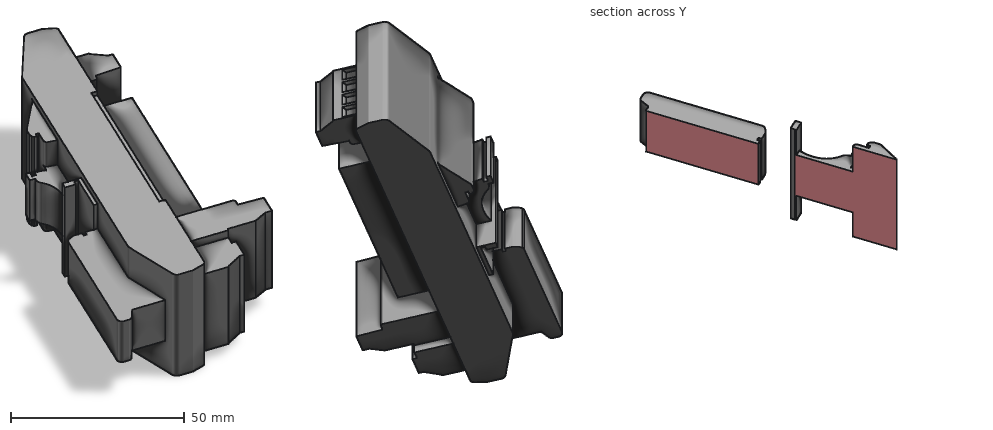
import cadquery as cq


BODY_LENGTH = 111.0
BODY_DEPTH = 17.7
BODY_WIDTH = 40.05
BODY_FLAT_MARGIN = 16.5
BODY_BEVEL_HEIGHT = 7.75
BODY_SHOULDER_HEIGHT = 13.3
BODY_SHOULDER_INSET = 1.35
BODY_EDGE_RADIUS = 2.0
BODY_SHOULDER_RADIUS = 1.2

BLOCK_X_MIN = 25.8
BLOCK_X_MAX = 81.0
BLOCK_TOP_Y = 30.6
BLOCK_HALF_WIDTH = 8.7
NOTCH_X_MIN = 30.5
NOTCH_X_MAX = 80.4
NOTCH_DEPTH_Y = 1.9
NOTCH_DEPTH_Z = 1.6

POLE_PITCH = 5.08
CONNECTOR_TOP_Y = 32.0
TALL_TOP_Y = 45.45
SHOULDER_Y = 30.6
CONNECTOR_EDGE_RADIUS = 0.9
LEFT_POLES = 4
TALL_POLES = 6
RIGHT_POLES = 6
LEFT_Z_MIN = -9.9
TALL_Z_MIN = -13.45
RIGHT_Z_MIN = -16.35
LEFT_FACE_X = 5.4
LEFT_INNER_X = 16.8
CABLE_SLOPE = [(5.75, 26.05), (8.4, 30.6)]
CAP_X = (8.4, 14.4)
LATCH_X = 16.4
LATCH_Y = 23.9
FACE_TOP_Y = 25.75
TALL_FACE_X = 85.4
TALL_LATCH_Y = 37.4
MIRROR_X_SUM = 113.3

RIGHT_INNER_X = MIRROR_X_SUM - LEFT_INNER_X

FUNNEL_TOP_Y = 23.0
FUNNEL_WIDTH = 4.1
FUNNEL_TAPER = 0.75
FUNNEL_TOP_TAPER = 1.0
FUNNEL_DEPTH = 0.8

RAIL_BOTTOM_Y = -10.0
HOOK_SHELF_Y = -3.85
CLAMP_WIDTH = 35.25
MIDDLE_WIDTH = 16.1
MIDDLE_CENTRE_Z = -0.15
FOOT_EDGE_RADIUS = 2.0
FOOT_EAR_RADIUS = 1.0
FIN_X = 60.0
WEDGE_START_X = 24.25
WEDGE_END_X = 35.3
WEDGE_BOTTOM_Y = -6.55
EAR_X = 42.15
FIN_BOTTOM_Y = -5.95
FIN_PLATE_Y = -1.2
RIGHT_FOOT_WALL_X = 107.5
LIP_TOP_Y = -6.05
LIP_TOP_RADIUS = 1.2
LIP_BOTTOM_RADIUS = 1.6
RAIL_STOP_X = 72.0
OVERLAP = 1.0
RIGHT_FOOT_OVERLAP = 8.0


def extrude_between(profile, z_min, z_max):
    """Extrude a closed XY profile from z_min to z_max."""
    return profile.extrude(z_max - z_min).translate((0, 0, z_min))


def extrude_centred(profile, centre_z, width):
    return extrude_between(profile, centre_z - width / 2, centre_z + width / 2)


def polygon(points):
    return cq.Workplane("XY").polyline(points).close()


def fillet_upright_edge(solid, x, y, radius):
    """Round the Z-parallel edge nearest to (x, y)."""
    middle_z = solid.val().Center().z
    nearest = cq.selectors.NearestToPointSelector((x, y, middle_z))
    return solid.edges(nearest).fillet(radius)


def make_body():
    half_outline = [
        (BODY_FLAT_MARGIN, 0),
        (0, BODY_BEVEL_HEIGHT),
        (0, BODY_SHOULDER_HEIGHT),
        (BODY_SHOULDER_INSET, BODY_DEPTH),
    ]
    mirrored = [(BODY_LENGTH - x, y) for x, y in reversed(half_outline)]
    body = extrude_centred(polygon(half_outline + mirrored), 0, BODY_WIDTH)
    for x, y, radius in (
        (BODY_FLAT_MARGIN, 0, BODY_EDGE_RADIUS),
        (0, BODY_BEVEL_HEIGHT, BODY_EDGE_RADIUS),
        (BODY_SHOULDER_INSET, BODY_DEPTH, BODY_SHOULDER_RADIUS),
    ):
        body = fillet_upright_edge(body, x, y, radius)
        body = fillet_upright_edge(body, BODY_LENGTH - x, y, radius)
    notch = cq.Workplane("XY").box(
        NOTCH_X_MAX - NOTCH_X_MIN, NOTCH_DEPTH_Y, NOTCH_DEPTH_Z, centered=False
    )
    notch_corner = (NOTCH_X_MIN, BODY_DEPTH - NOTCH_DEPTH_Y, BODY_WIDTH / 2 - NOTCH_DEPTH_Z)
    return body.cut(notch.translate(notch_corner))


def make_block():
    block = cq.Workplane("XY").box(
        BLOCK_X_MAX - BLOCK_X_MIN, BLOCK_TOP_Y - BODY_DEPTH, 2 * BLOCK_HALF_WIDTH, centered=False
    )
    return block.translate((BLOCK_X_MIN, BODY_DEPTH, -BLOCK_HALF_WIDTH))


def make_funnel(centre_z):
    """Tapered recess, open towards -X and running down to the body."""
    half = FUNNEL_WIDTH / 2
    inner_half = half - FUNNEL_TAPER
    inner_top = FUNNEL_TOP_Y - FUNNEL_TOP_TAPER

    def section(x, top, half_width):
        z_min = centre_z - half_width
        z_max = centre_z + half_width
        corners = [
            cq.Vector(x, BODY_DEPTH, z_min),
            cq.Vector(x, top, z_min),
            cq.Vector(x, top, z_max),
            cq.Vector(x, BODY_DEPTH, z_max),
        ]
        return cq.Wire.makePolygon(corners, close=True)

    mouth = section(LEFT_FACE_X, FUNNEL_TOP_Y, half)
    floor = section(LEFT_FACE_X + FUNNEL_DEPTH, inner_top, inner_half)
    return cq.Workplane(cq.Solid.makeLoft([mouth, floor], True))


def make_left_connector():
    cap_left, cap_right = CAP_X
    latch_root_x = 14.8
    profile = polygon([
        (LEFT_FACE_X, BODY_DEPTH),
        (LEFT_FACE_X, FACE_TOP_Y),
        *CABLE_SLOPE,
        (cap_left, CONNECTOR_TOP_Y),
        (cap_right, CONNECTOR_TOP_Y),
        (latch_root_x, LATCH_Y),
        (LATCH_X, LATCH_Y),
        (LEFT_INNER_X, BODY_DEPTH),
    ])
    connector = extrude_between(profile, LEFT_Z_MIN, LEFT_Z_MIN + LEFT_POLES * POLE_PITCH)
    connector = fillet_upright_edge(connector, LATCH_X, LATCH_Y, CONNECTOR_EDGE_RADIUS)
    for pole in range(LEFT_POLES):
        connector = connector.cut(make_funnel(LEFT_Z_MIN + (pole + 0.5) * POLE_PITCH))
    return connector


def make_tall_connector():
    cap_left = 87.85
    cap_right = 93.85
    cap_lean = 0.3
    right_wall_x = 95.9
    slope_top_y = 43.4
    slope_bottom_y = 39.4
    profile = polygon([
        (TALL_FACE_X, BODY_DEPTH),
        (TALL_FACE_X, TALL_LATCH_Y),
        (cap_left - cap_lean, TALL_LATCH_Y),
        (cap_left, TALL_TOP_Y),
        (cap_right, TALL_TOP_Y),
        (cap_right, slope_top_y),
        (right_wall_x, slope_bottom_y),
        (right_wall_x, SHOULDER_Y),
        (RIGHT_INNER_X, SHOULDER_Y),
        (RIGHT_INNER_X, BODY_DEPTH),
    ])
    connector = extrude_between(profile, TALL_Z_MIN, TALL_Z_MIN + TALL_POLES * POLE_PITCH)
    return fillet_upright_edge(connector, TALL_FACE_X, TALL_LATCH_Y, CONNECTOR_EDGE_RADIUS)


def make_right_connector():
    """Mirror image of the left connector's outer side, with a plain step on the inner side."""
    cap_left, cap_right = CAP_X
    outline = [
        (LEFT_FACE_X, BODY_DEPTH),
        (LEFT_FACE_X, FACE_TOP_Y),
        *CABLE_SLOPE,
        (cap_left, CONNECTOR_TOP_Y),
        (cap_right, CONNECTOR_TOP_Y),
        (cap_right, SHOULDER_Y),
        (LEFT_INNER_X, SHOULDER_Y),
        (LEFT_INNER_X, BODY_DEPTH),
    ]
    profile = polygon([(MIRROR_X_SUM - x, y) for x, y in outline])
    return extrude_between(profile, RIGHT_Z_MIN, RIGHT_Z_MIN + RIGHT_POLES * POLE_PITCH)


def make_left_foot():
    """Wedge-shaped foot whose lip hooks under the rail."""
    root_x = 22.25
    lip_flat_end_x = 37.3
    lip_corner = (38.3, -6.2)
    lip_tip_x = 38.8
    lip_tip_bottom_y = -5.6
    lip_top_y = -4.75
    hook_wall_x = 37.8
    right_side_x = 42.65
    profile = polygon([
        (root_x, OVERLAP),
        (root_x, 0),
        (WEDGE_START_X, 0),
        (WEDGE_END_X, WEDGE_BOTTOM_Y),
        (lip_flat_end_x, WEDGE_BOTTOM_Y),
        lip_corner,
        (lip_tip_x, lip_tip_bottom_y),
        (lip_tip_x, lip_top_y),
        (hook_wall_x, lip_top_y),
        (hook_wall_x, HOOK_SHELF_Y),
        (EAR_X, HOOK_SHELF_Y),
        (right_side_x, 0),
        (right_side_x, OVERLAP),
    ])
    foot = extrude_centred(profile, 0, CLAMP_WIDTH)
    foot = fillet_upright_edge(foot, WEDGE_START_X, 0, FOOT_EDGE_RADIUS)
    foot = fillet_upright_edge(foot, WEDGE_END_X, WEDGE_BOTTOM_Y, FOOT_EDGE_RADIUS)
    return fillet_upright_edge(foot, EAR_X, HOOK_SHELF_Y, FOOT_EAR_RADIUS)


def make_spring():
    """Curved arm with a small catch, between the left foot and the fin."""
    left_x = 41.25
    shelf_end_x = 43.5
    catch_neck_x = 42.9
    catch_slot_x = 44.2
    catch_slot_top_y = -7.4
    catch_slot_bottom_y = -8.65
    catch_left_x = 42.5
    catch_right_x = 45.5
    arm_start_x = 46.2
    arm_start_y = -8.3
    arm_end_y = -4.6
    toe_middle = (47.15, -7.95)
    toe_end = (47.9, -7.2)
    rise_middle = (49.8, -5.4)
    rise_end = (52.5, -4.1)
    crest_middle = (56.0, -3.7)
    crest_end = (59.2, -4.3)
    profile = (
        cq.Workplane("XY")
        .moveTo(left_x, OVERLAP)
        .lineTo(left_x, HOOK_SHELF_Y)
        .lineTo(shelf_end_x, HOOK_SHELF_Y)
        .lineTo(catch_neck_x, catch_slot_top_y)
        .lineTo(catch_slot_x, catch_slot_top_y)
        .lineTo(catch_slot_x, catch_slot_bottom_y)
        .lineTo(catch_left_x, catch_slot_bottom_y)
        .lineTo(catch_left_x, RAIL_BOTTOM_Y)
        .lineTo(catch_right_x, RAIL_BOTTOM_Y)
        .lineTo(catch_right_x, arm_start_y)
        .lineTo(arm_start_x, arm_start_y)
        .threePointArc(toe_middle, toe_end)
        .threePointArc(rise_middle, rise_end)
        .threePointArc(crest_middle, crest_end)
        .lineTo(FIN_X, arm_end_y)
        .lineTo(FIN_X, OVERLAP)
        .close()
    )
    return extrude_centred(profile, MIDDLE_CENTRE_Z, MIDDLE_WIDTH)


def make_fin():
    """Thin plate on the body with an upright lip at its left end."""
    lip_right_x = 61.9
    neck_x = 60.65
    undercut_y = -2.5
    profile = polygon([
        (FIN_X, OVERLAP),
        (FIN_X, FIN_BOTTOM_Y),
        (lip_right_x, FIN_BOTTOM_Y),
        (lip_right_x, undercut_y),
        (neck_x, undercut_y),
        (neck_x, FIN_PLATE_Y),
        (RAIL_STOP_X, FIN_PLATE_Y),
        (RAIL_STOP_X, OVERLAP),
    ])
    return extrude_centred(profile, 0, CLAMP_WIDTH)


def make_right_foot():
    slot_depth = 1.0
    slot_bottom_y = -4.8
    nose_start_y = -7.1
    nose_middle = (72.4, -8.5)
    nose_end = (73.2, -9.7)
    flat_start_x = 73.9
    lip_root_y = -4.35
    profile = (
        cq.Workplane("XY")
        .moveTo(RAIL_STOP_X, RIGHT_FOOT_OVERLAP)
        .lineTo(RAIL_STOP_X, HOOK_SHELF_Y)
        .lineTo(RAIL_STOP_X + slot_depth, HOOK_SHELF_Y)
        .lineTo(RAIL_STOP_X + slot_depth, slot_bottom_y)
        .lineTo(RAIL_STOP_X, slot_bottom_y)
        .lineTo(RAIL_STOP_X, nose_start_y)
        .threePointArc(nose_middle, nose_end)
        .lineTo(flat_start_x, RAIL_BOTTOM_Y)
        .lineTo(BODY_LENGTH, RAIL_BOTTOM_Y)
        .lineTo(BODY_LENGTH, LIP_TOP_Y)
        .lineTo(RIGHT_FOOT_WALL_X, lip_root_y)
        .lineTo(RIGHT_FOOT_WALL_X, RIGHT_FOOT_OVERLAP)
        .close()
    )
    foot = extrude_centred(profile, MIDDLE_CENTRE_Z, MIDDLE_WIDTH)
    foot = fillet_upright_edge(foot, BODY_LENGTH, RAIL_BOTTOM_Y, LIP_BOTTOM_RADIUS)
    return fillet_upright_edge(foot, BODY_LENGTH, LIP_TOP_Y, LIP_TOP_RADIUS)


result = make_body()
for make_feature in (
    make_block,
    make_left_connector,
    make_tall_connector,
    make_right_connector,
    make_left_foot,
    make_spring,
    make_fin,
    make_right_foot,
):
    result = result.union(make_feature())